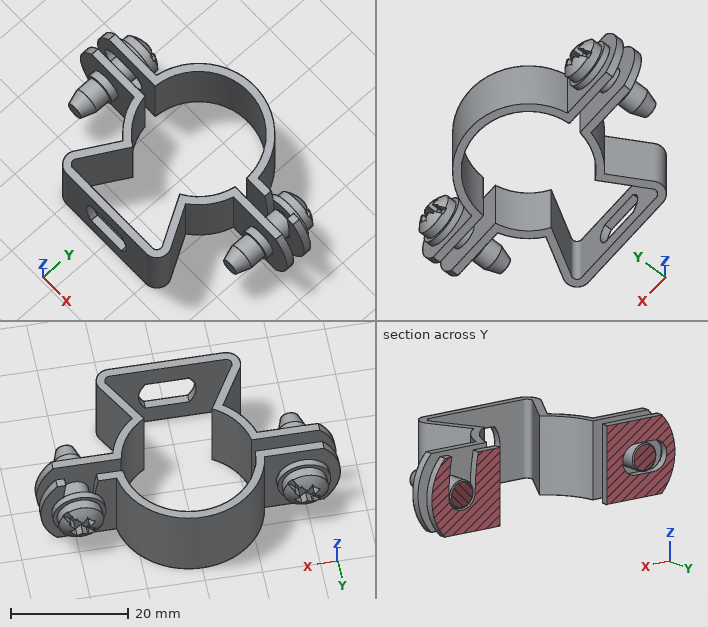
import cadquery as cq
import math


strip_width = 14.0
strip_thickness = 1.5
ring_inner_radius = 11.5
ring_outer_radius = ring_inner_radius + strip_thickness

flange_half_length = 26.0
flange_end_radius = 10.0
upper_flange_bottom = 0.5
upper_flange_top = upper_flange_bottom + strip_thickness
flange_gap = 2.5
lower_flange_top = upper_flange_bottom - flange_gap
lower_flange_bottom = lower_flange_top - strip_thickness

foot_bottom = -21.5
foot_corner_x = 10.0
foot_inner_bend = 1.0
foot_outer_bend = foot_inner_bend + strip_thickness
foot_corner_y = foot_bottom + foot_outer_bend
foot_side_angle = math.radians(60)
foot_hole_diameter = 10.0
foot_hole_height = 6.5

screw_x = 19.5
clearance_diameter = 5.5
adjusting_slot_length = 9.3
collar_diameter = 6.0
collar_length = 1.5

washer_diameter = 9.2
washer_thickness = 1.2
washer_top = upper_flange_top + washer_thickness

shank_radius = 2.5
neck_radius = 2.2
neck_chamfer = shank_radius - neck_radius
screw_length = 14.0
point_length = 2.7
point_radius = 1.6
head_radius = 3.9
head_side_height = 1.7
dome_height = 1.5
head_rim = washer_top + head_side_height
head_top = head_rim + dome_height
screw_tip = washer_top - screw_length

drive_angle = 45.0
drive_slot_width = 1.2
drive_slot_floor = head_rim - 0.2
cross_arm_width = 1.8
cross_length = 4.4
cross_depth = 2.0


def cylinder_y(radius, start_y, end_y, x=0.0):
    """Cylinder along Y between two heights."""
    base = cq.Workplane("XZ", origin=(x, end_y, 0))
    return base.circle(radius).extrude(end_y - start_y)


def on_circle(radius, y):
    """Point with positive X where a ring circle meets a given height."""
    return (math.sqrt(radius**2 - y**2), y)


def mirrored(point):
    return (-point[0], point[1])


def strip_from(outline):
    return outline.close().extrude(strip_width / 2, both=True)


def flange_end_trim():
    """Block with rounded ends that trims the flanges to length."""
    corner_z = strip_width / 2
    sagitta = flange_end_radius - math.sqrt(flange_end_radius**2 - corner_z**2)
    corner_x = flange_half_length - sagitta
    return (
        cq.Workplane("XZ", origin=(0, ring_outer_radius, 0))
        .moveTo(-corner_x, -corner_z)
        .lineTo(corner_x, -corner_z)
        .threePointArc((flange_half_length, 0), (corner_x, corner_z))
        .lineTo(-corner_x, corner_z)
        .threePointArc((-flange_half_length, 0), (-corner_x, -corner_z))
        .close()
        .extrude(ring_outer_radius - foot_bottom)
    )


def adjusting_slot():
    """Closed slot along X in the left upper flange."""
    return (
        cq.Workplane("XZ", origin=(-screw_x, upper_flange_top, 0))
        .slot2D(adjusting_slot_length, clearance_diameter)
        .extrude(strip_thickness)
    )


def swing_slot():
    """Open slot in the right upper flange, curved about the left screw so the half can swing open."""
    bottom = upper_flange_bottom
    top = upper_flange_top
    swing_radius = 2 * screw_x
    track = cylinder_y(swing_radius + clearance_diameter / 2, bottom, top, -screw_x)
    track = track.cut(cylinder_y(swing_radius - clearance_diameter / 2, bottom, top, -screw_x))
    opening = cq.Workplane("XY").box(
        flange_half_length, ring_outer_radius, strip_width, centered=(False, False, False)
    )
    end = cylinder_y(clearance_diameter / 2, bottom, top, screw_x)
    return track.intersect(opening).union(end)


def make_upper_half():
    inner = on_circle(ring_inner_radius, upper_flange_bottom)
    outer = on_circle(ring_outer_radius, upper_flange_top)
    half = strip_from(
        cq.Workplane("XY")
        .moveTo(*inner)
        .lineTo(flange_half_length, upper_flange_bottom)
        .lineTo(flange_half_length, upper_flange_top)
        .lineTo(*outer)
        .threePointArc((0, ring_outer_radius), mirrored(outer))
        .lineTo(-flange_half_length, upper_flange_top)
        .lineTo(-flange_half_length, upper_flange_bottom)
        .lineTo(*mirrored(inner))
        .threePointArc((0, ring_inner_radius), inner)
    )
    half = half.intersect(flange_end_trim())
    return half.cut(adjusting_slot()).cut(swing_slot())


def waist_point(ring_radius, bend_radius):
    """Point with positive X where a sloping foot side meets a ring circle."""
    normal = (math.sin(foot_side_angle), math.cos(foot_side_angle))
    downward = (math.cos(foot_side_angle), -math.sin(foot_side_angle))
    offset = foot_corner_x * normal[0] + foot_corner_y * normal[1] + bend_radius
    along = math.sqrt(ring_radius**2 - offset**2)
    return (offset * normal[0] + along * downward[0], offset * normal[1] + along * downward[1])


def bend_point(bend_radius, angle):
    """Point on the right foot bend at an angle from +X."""
    return (
        foot_corner_x + bend_radius * math.cos(angle),
        foot_corner_y + bend_radius * math.sin(angle),
    )


def ring_midpoint(radius, start, end):
    """Point on a ring circle halfway between two of its points."""
    middle = (math.atan2(start[1], start[0]) + math.atan2(end[1], end[0])) / 2
    return (radius * math.cos(middle), radius * math.sin(middle))


def saddle_fill(ring_radius, bend_radius, top_y):
    """Solid area bounded by one skin of the saddle, from the flange height down to the foot."""
    shoulder = on_circle(ring_radius, top_y)
    waist = waist_point(ring_radius, bend_radius)
    ring_middle = ring_midpoint(ring_radius, shoulder, waist)
    bend_start_angle = math.pi / 2 - foot_side_angle
    bend_end_angle = -math.pi / 2
    bend_start = bend_point(bend_radius, bend_start_angle)
    bend_middle = bend_point(bend_radius, (bend_start_angle + bend_end_angle) / 2)
    bend_end = bend_point(bend_radius, bend_end_angle)
    return strip_from(
        cq.Workplane("XY")
        .moveTo(*shoulder)
        .threePointArc(ring_middle, waist)
        .lineTo(*bend_start)
        .threePointArc(bend_middle, bend_end)
        .lineTo(*mirrored(bend_end))
        .threePointArc(mirrored(bend_middle), mirrored(bend_start))
        .lineTo(*mirrored(waist))
        .threePointArc(mirrored(ring_middle), mirrored(shoulder))
    )


def foot_hole():
    """Mounting hole in the foot: a circle with flat top and bottom."""
    foot_inside = foot_bottom + strip_thickness
    round_hole = cylinder_y(foot_hole_diameter / 2, foot_bottom, foot_inside)
    flats = cq.Workplane("XY").box(foot_hole_diameter, -2 * foot_bottom, foot_hole_height)
    return round_hole.intersect(flats)


def make_lower_half():
    flange_middle = (lower_flange_top + lower_flange_bottom) / 2
    half = (
        cq.Workplane("XY")
        .center(0, flange_middle)
        .box(2 * flange_half_length, strip_thickness, strip_width)
        .union(saddle_fill(ring_outer_radius, foot_outer_bend, lower_flange_top))
        .cut(saddle_fill(ring_inner_radius, foot_inner_bend, lower_flange_top))
        .intersect(flange_end_trim())
        .cut(foot_hole())
    )
    collar_end = lower_flange_bottom - collar_length
    for x in (-screw_x, screw_x):
        half = half.union(cylinder_y(collar_diameter / 2, collar_end, lower_flange_bottom, x))
        half = half.cut(cylinder_y(shank_radius, collar_end, lower_flange_top, x))
    return half


def make_washer(x):
    washer = cylinder_y(washer_diameter / 2, upper_flange_top, washer_top, x)
    return washer.cut(cylinder_y(neck_radius, upper_flange_top, washer_top, x))


def drive_recess():
    """Slot and deeper cross recess, before being turned to the drive angle."""
    recess_height = head_top - drive_slot_floor
    slot = (
        cq.Workplane("XY")
        .center(0, drive_slot_floor + recess_height / 2)
        .box(2 * head_radius, recess_height, drive_slot_width)
    )
    cross = cq.Workplane("XZ", origin=(0, head_top, 0))
    cross = cross.rect(cross_length, cross_arm_width).extrude(cross_depth).union(
        cross.rect(cross_arm_width, cross_length).extrude(cross_depth)
    )
    return slot.union(cross)


def make_screw(x):
    dome_radius = (head_radius**2 + dome_height**2) / (2 * dome_height)
    dome_half_angle = math.asin(head_radius / dome_radius) / 2
    dome_middle = (
        dome_radius * math.sin(dome_half_angle),
        head_top - dome_radius * (1 - math.cos(dome_half_angle)),
    )
    screw = (
        cq.Workplane("XY")
        .moveTo(0, screw_tip)
        .lineTo(point_radius, screw_tip)
        .lineTo(shank_radius, screw_tip + point_length)
        .lineTo(shank_radius, upper_flange_top - neck_chamfer)
        .lineTo(neck_radius, upper_flange_top)
        .lineTo(neck_radius, washer_top)
        .lineTo(head_radius, washer_top)
        .lineTo(head_radius, head_rim)
        .threePointArc(dome_middle, (0, head_top))
        .close()
        .revolve(360, (0, 0, 0), (0, 1, 0))
    )
    recess = drive_recess().rotate((0, 0, 0), (0, 1, 0), -drive_angle)
    return screw.cut(recess).translate((x, 0, 0))


upper_half = make_upper_half()
lower_half = make_lower_half()
washers = [make_washer(x) for x in (-screw_x, screw_x)]
screws = [make_screw(x) for x in (-screw_x, screw_x)]

result = cq.Compound.makeCompound(
    [solid for body in (upper_half, lower_half, *washers, *screws) for solid in body.solids().vals()]
)